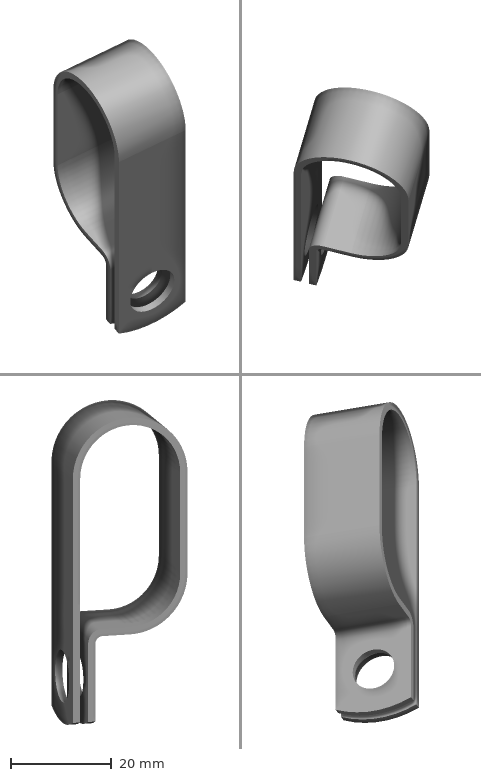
import cadquery as cq

height = 63.3
strap_width = 15.9
thickness = 1.5
loop_radius = 11.85
straight_length = 20.6
leg_gap = 1.65
bend_inner_radius = 1.4
short_leg_hole_diameter = 8.75
long_leg_hole_diameter = 10.5
hole_height = 9.5
tip_rise = 1.7

inner_radius = loop_radius - thickness
upper_center_z = height - loop_radius
lower_center_z = upper_center_z - straight_length
floor_z = lower_center_z - loop_radius
short_leg_outer_x = inner_radius - leg_gap
short_leg_inner_x = short_leg_outer_x - thickness
bend_center_x = short_leg_inner_x - bend_inner_radius
bend_center_z = floor_z - bend_inner_radius
bend_outer_radius = bend_inner_radius + thickness


def make_strap():
    """Bent strip: long leg, loop and short leg, extruded across its width."""
    profile = (
        cq.Workplane("XZ")
        .moveTo(loop_radius, 0)
        .lineTo(loop_radius, upper_center_z)
        .radiusArc((0, height), -loop_radius)
        .radiusArc((-loop_radius, upper_center_z), -loop_radius)
        .lineTo(-loop_radius, lower_center_z)
        .radiusArc((0, floor_z), -loop_radius)
        .lineTo(bend_center_x, floor_z)
        .radiusArc((short_leg_inner_x, bend_center_z), bend_inner_radius)
        .lineTo(short_leg_inner_x, 0)
        .lineTo(short_leg_outer_x, 0)
        .lineTo(short_leg_outer_x, bend_center_z)
        .radiusArc((bend_center_x, floor_z + thickness), -bend_outer_radius)
        .lineTo(0, floor_z + thickness)
        .radiusArc((-inner_radius, lower_center_z), inner_radius)
        .lineTo(-inner_radius, upper_center_z)
        .radiusArc((0, height - thickness), inner_radius)
        .radiusArc((inner_radius, upper_center_z), inner_radius)
        .lineTo(inner_radius, 0)
        .close()
    )
    return profile.extrude(strap_width / 2, both=True)


def make_tip_envelope():
    """Block spanning the whole strap, with a convex arc along its lower end."""
    half_width = strap_width / 2
    return (
        cq.Workplane("YZ")
        .moveTo(-half_width, height)
        .lineTo(-half_width, tip_rise)
        .threePointArc((0, 0), (half_width, tip_rise))
        .lineTo(half_width, height)
        .close()
        .extrude(loop_radius, both=True)
    )


def make_leg_hole(diameter, start_x, end_x):
    """Cylinder along X, for the hole through one leg."""
    return (
        cq.Workplane("YZ", origin=(start_x, 0, hole_height))
        .circle(diameter / 2)
        .extrude(end_x - start_x)
    )


short_leg_hole = make_leg_hole(short_leg_hole_diameter, short_leg_inner_x, short_leg_outer_x)
long_leg_hole = make_leg_hole(long_leg_hole_diameter, inner_radius, loop_radius)

result = make_strap().intersect(make_tip_envelope()).cut(short_leg_hole).cut(long_leg_hole)